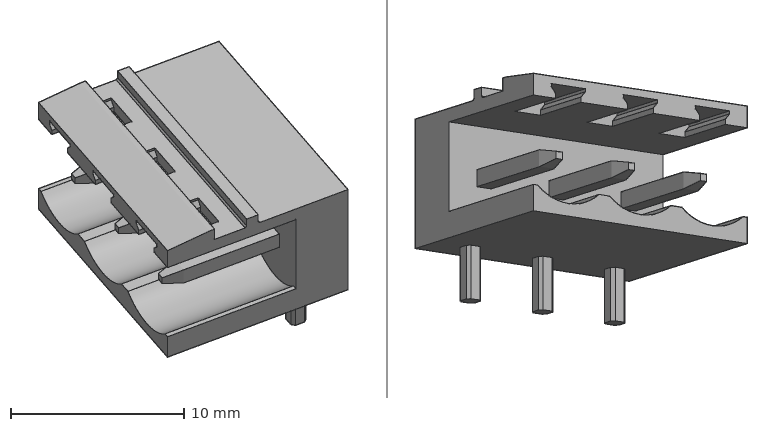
import cadquery as cq


contact_count = 3
pitch = 5.07
contact_xs = [(i - (contact_count - 1) / 2) * pitch for i in range(contact_count)]

housing_width = 15.04
housing_depth = 12.0
housing_height = 7.67
back_wall = 3.46
floor_thickness = 1.56
roof_thickness = 0.81
wall_face_y = housing_depth - back_wall
ceiling_z = housing_height - roof_thickness

rib_front_y = 5.26
rib_thickness = 0.77
rib_height = 0.63
rib_foot = 0.1

latch_length = 3.13
latch_flat = 0.33
latch_height = 0.78
latch_front_height = 0.48

scallop_width = 4.32
scallop_depth = 0.81

slot_length = 4.12
slot_wide = 2.39
slot_narrow = 1.8
slot_top_z = 7.7
slot_wide_bottom_z = 7.52
slot_narrow_top_z = 7.17

pin_size = 1.01
pin_z = 3.78
pin_tip_size = 0.44
pin_tip_y = 0.92
pin_taper_length = 1.28

tail_size = 1.01
tail_length = 3.17
tail_chamfer = 0.2
tail_y = housing_depth - 2.08


def make_housing_body():
    """C-shaped side profile with the rib and the latch, extruded along X."""
    rib_back_y = rib_front_y + rib_thickness
    rib_top_z = housing_height + rib_height
    foot_top_z = housing_height + rib_foot
    profile = [
        (0, 0),
        (housing_depth, 0),
        (housing_depth, housing_height),
        (rib_back_y + rib_foot, housing_height),
        (rib_back_y, foot_top_z),
        (rib_back_y, rib_top_z),
        (rib_front_y, rib_top_z),
        (rib_front_y, foot_top_z),
        (rib_front_y - rib_foot, housing_height),
        (latch_length, housing_height),
        (latch_length, housing_height + latch_height),
        (latch_length - latch_flat, housing_height + latch_height),
        (0, housing_height + latch_front_height),
        (0, ceiling_z),
        (wall_face_y, ceiling_z),
        (wall_face_y, floor_thickness),
        (0, floor_thickness),
    ]
    return cq.Workplane("YZ").polyline(profile).close().extrude(housing_width / 2, both=True)


def make_scallop_cutter(x):
    """Shallow circular trough in the floor, from the front edge to the back wall."""
    half_width = scallop_width / 2
    return (
        cq.Workplane("XZ")
        .moveTo(x - half_width, floor_thickness)
        .threePointArc((x, floor_thickness - scallop_depth), (x + half_width, floor_thickness))
        .close()
        .extrude(-wall_face_y)
    )


def make_slot_cutter(x):
    """Keying slot open at the front and into the cavity below the roof."""
    half_wide = slot_wide / 2
    half_narrow = slot_narrow / 2
    profile = [
        (x - half_narrow, ceiling_z),
        (x - half_narrow, slot_narrow_top_z),
        (x - half_wide, slot_wide_bottom_z),
        (x - half_wide, slot_top_z),
        (x + half_wide, slot_top_z),
        (x + half_wide, slot_wide_bottom_z),
        (x + half_narrow, slot_narrow_top_z),
        (x + half_narrow, ceiling_z),
    ]
    return cq.Workplane("XZ").polyline(profile).close().extrude(-slot_length)


def make_housing():
    housing = make_housing_body()
    for x in contact_xs:
        housing = housing.cut(make_scallop_cutter(x))
        housing = housing.cut(make_slot_cutter(x))
    return housing


def make_contact_pin(x):
    """Square pin from the back wall face toward the front, ending in a tapered tip."""
    taper_start_y = pin_tip_y + pin_taper_length
    shank = (
        cq.Workplane("XZ", origin=(x, wall_face_y, pin_z))
        .rect(pin_size, pin_size)
        .extrude(wall_face_y - taper_start_y)
    )
    taper = (
        cq.Workplane("XZ", origin=(x, taper_start_y, pin_z))
        .rect(pin_size, pin_size)
        .workplane(offset=pin_taper_length)
        .rect(pin_tip_size, pin_tip_size)
        .loft(ruled=True)
    )
    return shank.union(taper)


def make_solder_tail(x):
    """Square tail with chamfered long edges, hanging from the housing underside."""
    return (
        cq.Workplane("XY", origin=(x, tail_y, 0))
        .rect(tail_size, tail_size)
        .extrude(-tail_length)
        .edges("|Z")
        .chamfer(tail_chamfer)
    )


housing = make_housing()
contact_pins = [make_contact_pin(x).val() for x in contact_xs]
solder_tails = [make_solder_tail(x).val() for x in contact_xs]

result = cq.Compound.makeCompound([housing.val(), *contact_pins, *solder_tails])